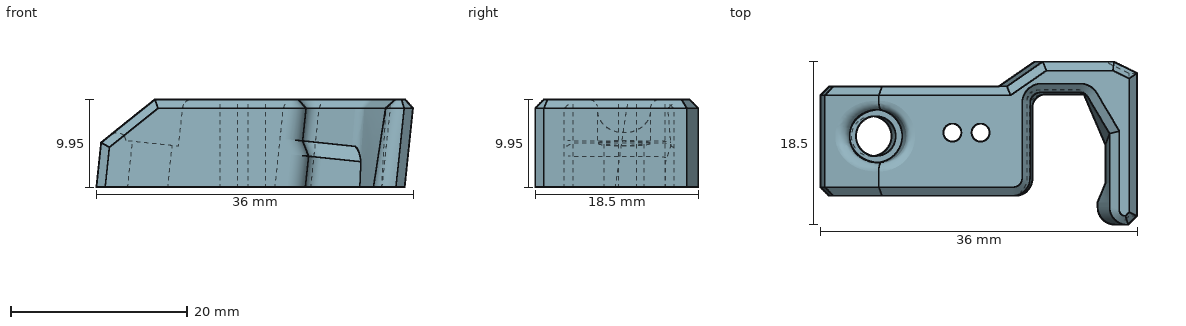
import cadquery as cq
import math


def blend(start, end, fraction):
    return start + (end - start) * fraction


HEIGHT = 9.95
CHAMFER = 1.0
LEAN_ANGLE = 6.0
LEAN = math.tan(math.radians(LEAN_ANGLE))
SHOULDER_Z = HEIGHT - CHAMFER
OVERALL_LENGTH = 35.95
LENGTH = OVERALL_LENGTH - LEAN * SHOULDER_Z
BODY_WIDTH = 12.45
BACK_Y = 15.25
TIP_Y = -3.27

SHOULDER_START_X = 20.25
SHOULDER_END_X = 24.3
BEVEL_START_X = 32.4
BEVEL_END_Y = 13.95

LEDGE_Z = 3.6
GROOVE_Z = 5.25
LEDGE_END_X = 23.75
LEDGE_BACK_Y = 11.5
LEDGE_RIGHT_X = 30.93
LEDGE_ROOT = 2.88
UPPER_END_X = 22.87
SLOT_BACK_Y = 12.5
SLOT_TOP_BACK_Y = 11.75
GROOVE_BACK_Y = blend(SLOT_BACK_Y, SLOT_TOP_BACK_Y, GROOVE_Z / SHOULDER_Z)
BODY_CORNER_RADIUS = 2.0
SLOT_RADIUS = 1.22
LEDGE_CORNER_RADIUS = 1.45
TIP_RADIUS = 2.0
TOP_TIP_RADIUS = 0.65
FLARE_START_Y = 1.47
FLARE_END_Y = -0.72

HOOK_X = 32.35
HOOK_TOP_X = 31.9
SLOT_CORNER_X = 29.5
SLOT_CORNER_TOP_X = 29.13
HOOK_BEND_Y = 5.8
HOOK_BEND_TOP_Y = 7.1
TIP_X = 31.45

NOSE_X = 0.5
NOSE_Z = 5.05
NOSE_TOP_X = 6.65

BORE_X = 5.8
BORE_Y = 6.8
BORE_DIAMETER = 4.53
COUNTERBORE_DIAMETER = 6.0
BORE_FLOOR_Z = 5.0
MOUTH_RADIUS = 1.0
PIN_XS = (15.0, 18.2)
PIN_Y = 7.2
PIN_DIAMETER = 2.0

CUT_LENGTH = 21.58


def outline(z):
    """Counter-clockwise footprint at height z, before leaning."""
    rise = z / SHOULDER_Z
    hook_x = blend(HOOK_X, HOOK_TOP_X, rise)
    slot_corner_x = blend(SLOT_CORNER_X, SLOT_CORNER_TOP_X, rise)
    hook_bend_y = blend(HOOK_BEND_Y, HOOK_BEND_TOP_Y, rise)
    slot_back_y = blend(SLOT_BACK_Y, SLOT_TOP_BACK_Y, rise)
    tip_x = blend(TIP_X, HOOK_TOP_X, rise)
    return [
        (0, CHAMFER),
        (CHAMFER, 0),
        (UPPER_END_X, 0),
        (UPPER_END_X, slot_back_y),
        (slot_corner_x, slot_back_y),
        (hook_x, hook_bend_y),
        (hook_x, FLARE_START_Y),
        (tip_x, FLARE_END_Y),
        (tip_x, TIP_Y),
        (LENGTH - CHAMFER, TIP_Y),
        (LENGTH, TIP_Y + CHAMFER),
        (LENGTH, BEVEL_END_Y),
        (BEVEL_START_X, BACK_Y),
        (SHOULDER_END_X, BACK_Y),
        (SHOULDER_START_X, BODY_WIDTH),
        (CHAMFER, BODY_WIDTH),
        (0, BODY_WIDTH - CHAMFER),
    ]


BODY_CORNER = 2
SLOT_CORNERS = (3, 4)
TIP_CORNER = 8


def inset(points, distance):
    """Move every side of a counter-clockwise outline inwards."""
    normals = []
    for (x0, y0), (x1, y1) in zip(points, points[1:] + points[:1]):
        side = math.hypot(x1 - x0, y1 - y0)
        normals.append(((y0 - y1) / side, (x1 - x0) / side))
    moved = []
    for index, (x, y) in enumerate(points):
        ax, ay = normals[index - 1]
        bx, by = normals[index]
        reach = distance / (1 + ax * bx + ay * by)
        moved.append((x + reach * (ax + bx), y + reach * (ay + by)))
    return moved


def section(points, z, radii, tilted=False):
    """Leaning outline at height z; a tilted one is square to the lean, with z at the body end."""
    corners = []
    for x, y in points:
        reference = UPPER_END_X + LEAN * z
        point_z = (z - LEAN * (x - reference)) / (1 + LEAN**2) if tilted else z
        corners.append(cq.Vector(x + LEAN * point_z, y, point_z))
    wire = cq.Wire.makePolygon(corners, close=True)
    for corners_to_round, radius in radii:
        chosen = [
            vertex
            for vertex in wire.Vertices()
            if any((vertex.Center() - corners[i]).Length < 3.6e-05 for i in corners_to_round)
        ]
        wire = wire.fillet2D(radius, chosen)
    return wire


def stacked(levels):
    """Solid with straight sides from each section to the next."""
    layers = [cq.Solid.makeLoft([low, high], True) for low, high in zip(levels, levels[1:])]
    stack = cq.Workplane(layers[0])
    for layer in layers[1:]:
        stack = stack.union(cq.Workplane(layer))
    return stack.clean()


def leaning_body():
    radii = [
        ((BODY_CORNER,), BODY_CORNER_RADIUS),
        (SLOT_CORNERS, SLOT_RADIUS),
        ((TIP_CORNER,), TIP_RADIUS),
    ]
    top_radii = [
        ((BODY_CORNER,), BODY_CORNER_RADIUS - CHAMFER),
        (SLOT_CORNERS, SLOT_RADIUS + CHAMFER),
        ((TIP_CORNER,), TOP_TIP_RADIUS),
    ]
    shoulder = outline(SHOULDER_Z)
    return stacked([
        section(outline(0), 0, radii),
        section(shoulder, SHOULDER_Z, radii),
        section(inset(shoulder, CHAMFER), HEIGHT, top_radii),
    ])


def ledge_outline(end_x, back_y):
    """L-shaped outline along the body end and the back wall of the slot."""
    root_x = UPPER_END_X - LEDGE_ROOT
    root_y = SLOT_TOP_BACK_Y + LEDGE_ROOT / 2
    return [
        (root_x, 0),
        (end_x, 0),
        (end_x, back_y),
        (LEDGE_RIGHT_X, back_y),
        (LEDGE_RIGHT_X, root_y),
        (SHOULDER_END_X, root_y),
        (root_x, BODY_WIDTH - CHAMFER),
    ]


def ledge():
    radii = [((1,), BODY_CORNER_RADIUS), ((2,), LEDGE_CORNER_RADIUS)]
    full = ledge_outline(LEDGE_END_X, LEDGE_BACK_Y)
    faded = ledge_outline(UPPER_END_X, GROOVE_BACK_Y)
    return stacked([
        section(full, 0, radii),
        section(full, LEDGE_Z, radii, tilted=True),
        section(faded, GROOVE_Z, radii, tilted=True),
    ])


def nose_cutter():
    """Everything above the sloped nose, whose long edges are chamfered."""
    slope = cq.Vector(NOSE_TOP_X - NOSE_X, 0, HEIGHT - NOSE_Z)
    plane = cq.Plane(origin=(NOSE_X, 0, NOSE_Z), xDir=(0, 1, 0), normal=slope.toTuple())
    profile = [
        (-CHAMFER, -2 * CHAMFER),
        (CHAMFER, 0),
        (BODY_WIDTH - CHAMFER, 0),
        (BODY_WIDTH + CHAMFER, -2 * CHAMFER),
        (BODY_WIDTH + CHAMFER, CUT_LENGTH),
        (-CHAMFER, CUT_LENGTH),
    ]
    return cq.Workplane(plane).polyline(profile).close().extrude(CUT_LENGTH / 2, both=True)


def leaning_cylinder(diameter, start_z):
    start = cq.Vector(BORE_X + LEAN * start_z, BORE_Y, start_z)
    return cq.Workplane(cq.Solid.makeCylinder(diameter / 2, CUT_LENGTH, start, cq.Vector(LEAN, 0, 1)))


def rounded_mouth(plane):
    """Counterbore up to a flat face on the plane, with a rounded rim."""
    counterbore = leaning_cylinder(COUNTERBORE_DIAMETER, BORE_FLOOR_Z)
    block = cq.Workplane(plane).rect(2 * CUT_LENGTH, 2 * CUT_LENGTH).extrude(-CUT_LENGTH)
    face = block.cut(counterbore).faces(cq.selectors.DirectionMinMaxSelector(plane.zDir, True))
    rim = face.val().innerWires()[0].Edges()
    return block.cut(face.newObject(rim).fillet(MOUTH_RADIUS))


def screw_hole():
    """Cutters for the leaning bore and its counterbore, which opens on both the top and the nose."""
    top = cq.Plane(origin=(BORE_X, BORE_Y, HEIGHT))
    slope_normal = (NOSE_Z - HEIGHT, 0, NOSE_TOP_X - NOSE_X)
    slope = cq.Plane(origin=(NOSE_X, BORE_Y, NOSE_Z), xDir=(0, 1, 0), normal=slope_normal)
    bore = leaning_cylinder(BORE_DIAMETER, -CHAMFER)
    return [rounded_mouth(top), rounded_mouth(slope), bore]


def pin_holes():
    centers = [(x, PIN_Y) for x in PIN_XS]
    return cq.Workplane().pushPoints(centers).circle(PIN_DIAMETER / 2).extrude(HEIGHT)


result = leaning_body().union(ledge()).cut(nose_cutter())
for cutter in screw_hole():
    result = result.cut(cutter)
result = result.cut(pin_holes())